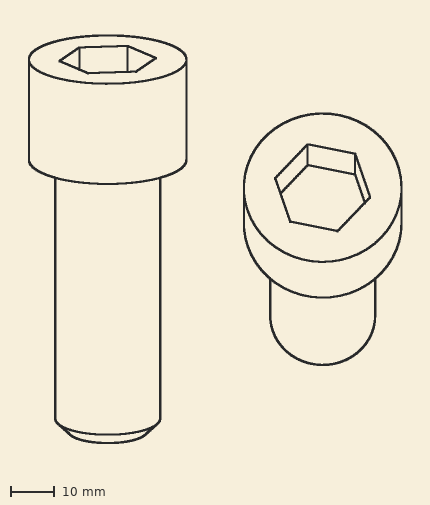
import cadquery as cq
import math

head_diameter = 36.0
head_height = 24.0

socket_sides = 6
socket_across_flats = 19.15
socket_depth = 14.0

shank_diameter = 24.0
shank_length = 65.0
neck_length = 5.0
tip_chamfer = 3.0


def make_screw_body():
    """Head, neck and chamfered shank as one profile revolved about Z."""
    head_radius = head_diameter / 2
    shank_radius = shank_diameter / 2
    profile = [
        (0, -shank_length),
        (shank_radius - tip_chamfer, -shank_length),
        (shank_radius, -shank_length + tip_chamfer),
        (shank_radius, -neck_length),
        (shank_radius, 0),
        (head_radius, 0),
        (head_radius, head_height),
        (0, head_height),
    ]
    return cq.Workplane("YZ").polyline(profile).close().revolve(360, (0, 0, 0), (0, 1, 0), clean=False)


def make_socket():
    """Flat-bottomed hexagonal cutter reaching down from the top of the head."""
    across_corners = socket_across_flats / math.cos(math.pi / socket_sides)
    return (
        cq.Workplane("XY", origin=(0, 0, head_height))
        .polygon(socket_sides, across_corners)
        .extrude(-socket_depth)
    )


result = make_screw_body().cut(make_socket(), clean=False)